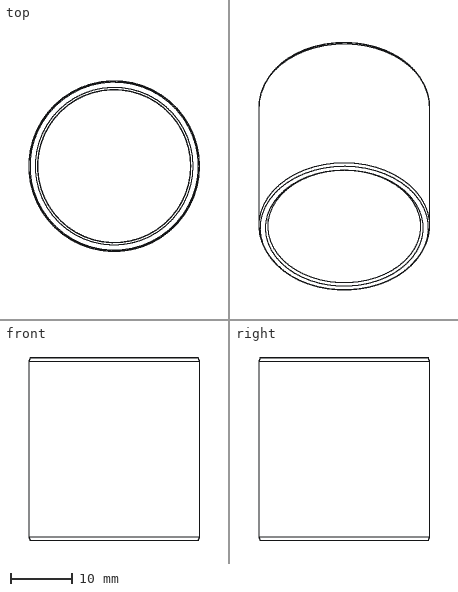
import cadquery as cq
import math

outer_diameter = 28.0
bore_diameter = 25.05
length = 30.0

outer_chamfer_height = 0.6
outer_chamfer_angle = 20.0

bore_chamfer = 0.4

outer_chamfer_width = outer_chamfer_height * math.tan(math.radians(outer_chamfer_angle))
outer_radius = outer_diameter / 2
bore_radius = bore_diameter / 2
half_length = length / 2


def wall_profile():
    """Half section of the wall: X is the radius, Y is the height along the axis."""
    outer_end_radius = outer_radius - outer_chamfer_width
    outer_side_top = half_length - outer_chamfer_height
    bore_end_radius = bore_radius + bore_chamfer
    bore_side_top = half_length - bore_chamfer
    return (
        cq.Workplane("XZ")
        .moveTo(bore_end_radius, -half_length)
        .lineTo(outer_end_radius, -half_length)
        .lineTo(outer_radius, -outer_side_top)
        .lineTo(outer_radius, outer_side_top)
        .lineTo(outer_end_radius, half_length)
        .lineTo(bore_end_radius, half_length)
        .lineTo(bore_radius, bore_side_top)
        .lineTo(bore_radius, -bore_side_top)
        .close()
    )


result = wall_profile().revolve(360, (0, 0, 0), (0, 1, 0))